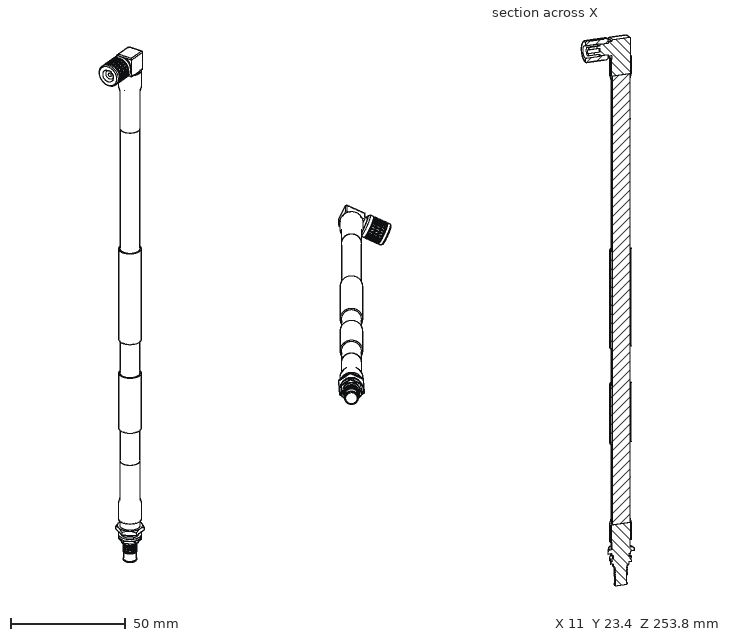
import cadquery as cq
import math


total_height = 253.8
coupling_diameter = 10.2
plug_axis_z = total_height - coupling_diameter / 2
cable_diameter = 8.6
sleeve_diameter = 10.0
ferrule_diameter = 9.0

boot_grip_diameter = 10.2
boot_tail_diameter = 9.0
boot_grip_length = 7.9
boot_taper_length = 2.3
boot_tail_length = 18.8
lower_boot_start = 20.5
upper_boot_start = 244.0
cable_start = lower_boot_start + boot_grip_length
cable_end = upper_boot_start - boot_grip_length

long_sleeve_start = 110.0
long_sleeve_length = 45.2
short_sleeve_start = 65.7
short_sleeve_length = 27.5

elbow_width = 7.9
elbow_depth = 9.1
elbow_top = 252.8
elbow_chamfer = 0.5
plug_neck_diameter = 6.9
spigot_diameter = 5.5
spigot_end = 10.2
contact_diameter = 4.0
contact_hole_diameter = 1.5
contact_end = 15.7

coupling_start = 6.0
coupling_end = 17.0
coupling_rear_chamfer = 0.8
coupling_mouth_chamfer = 0.5
knurl_start = 8.5
knurl_end = 15.2
knurl_depth = 0.2
knurl_width = 0.5
knurl_count = 24
knurl_ring_count = 4

tip_diameter = 6.0
tip_chamfer = 0.5
tip_recess_start = 0.8
tip_recess_length = 3.8
tip_groove_start = 5
tip_groove_pitch = 1.3
tip_groove_width = 0.5
tip_groove_depth = 0.3
tip_groove_count = 3
thread_start = 9.0
thread_chamfer = 0.5
thread_diameter = 7.5
nut_start = 10.5
nut_across_flats = 8.6
washer_start = 12.0
washer_end = 13.0
washer_diameter = 10.2
seat_start = 14.2
seat_diameter = 9.1
flange_start = 15.2
flange_end = 17.3
flange_across_flats = 11.0
hex_chamfer_height = 0.8


def cylinder(diameter, bottom, top):
    """A cylinder around the Z axis."""
    return cq.Workplane("XY").workplane(offset=bottom).circle(diameter / 2).extrude(top - bottom)


def tube(outer_diameter, inner_diameter, bottom, top):
    """A ring around the Z axis."""
    return cylinder(outer_diameter, bottom, top).cut(cylinder(inner_diameter, bottom, top))


def plug_cylinder(diameter, start, end):
    """A cylinder around the plug axis, between two distances from the cable axis along -Y."""
    return (
        cq.Workplane("XZ", origin=(0, -start, plug_axis_z))
        .circle(diameter / 2)
        .extrude(end - start)
    )


def hexagon(across_flats, bottom, top):
    """A hexagonal prism with flats facing +X and -X, whose upper corners are turned off."""
    across_corners = across_flats / math.cos(math.pi / 6)
    prism = (
        cq.Workplane("XY")
        .workplane(offset=bottom)
        .transformed(rotate=(0, 0, 90))
        .polygon(6, across_corners)
        .extrude(top - bottom)
    )
    chamfer_width = (across_corners - across_flats) / 2
    turned_blank = (
        cylinder(across_corners, bottom, top)
        .faces(">Z")
        .chamfer(hex_chamfer_height, chamfer_width)
    )
    return prism.intersect(turned_blank)


def make_cable():
    return cylinder(cable_diameter, cable_start, cable_end)


def make_sleeve(start, length):
    return tube(sleeve_diameter, cable_diameter, start, start + length)


def make_boot(start, direction):
    """A boot from its connector end at height start; direction is 1 upward, -1 downward."""
    grip_end = start + direction * boot_grip_length
    taper_end = grip_end + direction * boot_taper_length
    tail_end = taper_end + direction * boot_tail_length
    return (
        cq.Workplane("XZ")
        .moveTo(ferrule_diameter / 2, start)
        .lineTo(boot_grip_diameter / 2, start)
        .lineTo(boot_grip_diameter / 2, grip_end)
        .lineTo(boot_tail_diameter / 2, taper_end)
        .lineTo(boot_tail_diameter / 2, tail_end)
        .lineTo(cable_diameter / 2, tail_end)
        .lineTo(cable_diameter / 2, grip_end)
        .lineTo(ferrule_diameter / 2, grip_end)
        .close()
        .revolve(360, (0, 0, 0), (0, 1, 0))
    )


def make_elbow():
    """Elbow block with the ferrule below it and the plug's neck, spigot and contact."""
    block = (
        cq.Workplane("XY")
        .workplane(offset=upper_boot_start)
        .rect(elbow_width, elbow_depth)
        .extrude(elbow_top - upper_boot_start)
        .edges("|Z and >Y")
        .chamfer(elbow_chamfer)
        .faces(">Z")
        .chamfer(elbow_chamfer)
    )
    ferrule = cylinder(ferrule_diameter, cable_end, upper_boot_start)
    neck = plug_cylinder(plug_neck_diameter, 0, coupling_start)
    spigot = plug_cylinder(spigot_diameter, 0, spigot_end)
    contact = plug_cylinder(contact_diameter, 0, contact_end)
    contact_hole = plug_cylinder(contact_hole_diameter, spigot_end, contact_end)
    return block.union(ferrule).union(neck).union(spigot).union(contact).cut(contact_hole)


def make_coupling_nut():
    """Coupling nut with a plain collar, a knurled band and an open mouth."""
    nut = (
        plug_cylinder(coupling_diameter, coupling_start, coupling_end)
        .faces(">Y")
        .chamfer(coupling_rear_chamfer)
        .cut(plug_cylinder(spigot_diameter, coupling_start, coupling_end))
    )
    nut = nut.faces("<Y").edges(cq.selectors.RadiusNthSelector(-1)).chamfer(coupling_mouth_chamfer)
    knurl_length = knurl_end - knurl_start
    flutes = (
        cq.Workplane("XZ", origin=(0, -knurl_start, plug_axis_z))
        .polarArray(coupling_diameter / 2, 0, 360, knurl_count)
        .rect(2 * knurl_depth, knurl_width)
        .extrude(knurl_length)
    )
    nut = nut.cut(flutes)
    ring_pitch = (knurl_length - knurl_width) / (knurl_ring_count - 1)
    for i in range(knurl_ring_count):
        start = knurl_start + i * ring_pitch
        end = start + knurl_width
        ring = plug_cylinder(coupling_diameter, start, end).cut(
            plug_cylinder(coupling_diameter - 2 * knurl_depth, start, end)
        )
        nut = nut.cut(ring)
    return nut


def tip_groove(start, length):
    """The ring of material removed by a groove around the jack's tip."""
    return tube(tip_diameter, tip_diameter - 2 * tip_groove_depth, start, start + length)


def make_bulkhead_jack():
    """Grooved tip, threaded barrel with nut and washer, hexagonal flange and ferrule."""
    jack = cylinder(tip_diameter, 0, thread_start).faces("<Z").chamfer(tip_chamfer)
    jack = jack.cut(tip_groove(tip_recess_start, tip_recess_length))
    for i in range(tip_groove_count):
        jack = jack.cut(tip_groove(tip_groove_start + i * tip_groove_pitch, tip_groove_width))
    barrel = cylinder(thread_diameter, thread_start, flange_start).faces("<Z").chamfer(thread_chamfer)
    nut = hexagon(nut_across_flats, nut_start, washer_start)
    washer = cylinder(washer_diameter, washer_start, washer_end)
    seat = cylinder(seat_diameter, seat_start, flange_start)
    flange = hexagon(flange_across_flats, flange_start, flange_end)
    ferrule = cylinder(ferrule_diameter, flange_end, cable_start)
    return jack.union(barrel).union(nut).union(washer).union(seat).union(flange).union(ferrule)


cable = make_cable()
long_sleeve = make_sleeve(long_sleeve_start, long_sleeve_length)
short_sleeve = make_sleeve(short_sleeve_start, short_sleeve_length)
boots = [make_boot(lower_boot_start, 1), make_boot(upper_boot_start, -1)]
elbow = make_elbow()
coupling_nut = make_coupling_nut()
bulkhead_jack = make_bulkhead_jack()

result = cq.Compound.makeCompound(
    [
        cable.val(),
        long_sleeve.val(),
        short_sleeve.val(),
        *[boot.val() for boot in boots],
        elbow.val(),
        coupling_nut.val(),
        bulkhead_jack.val(),
    ]
)